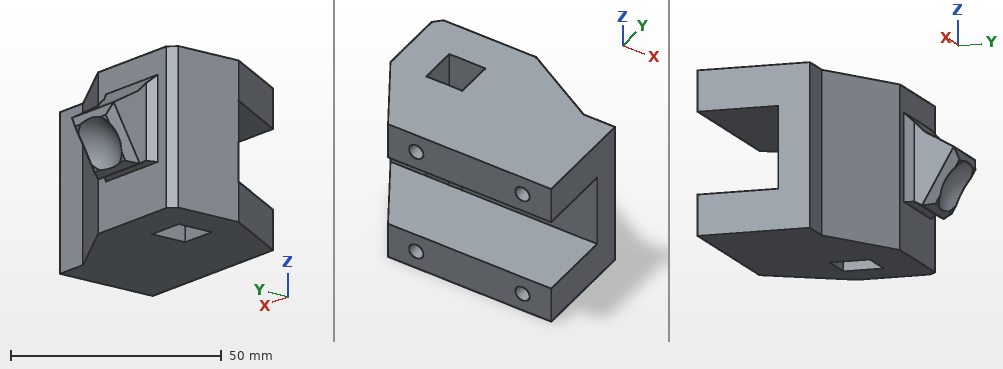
import cadquery as cq
import math

LENGTH = 58.2
HEIGHT = 40.2
DEPTH = 40.45
SIDE_DEPTH = 28.1
FRONT_BEVEL_X = 12.2
BACK_CHAMFER = 2.05
BACK_FLAT_END_X = 28.05
SLOPE_END_X = 49.35

ARM_THICKNESS = HEIGHT / 4
SLOT_DEPTH = 20.2
CHANNEL_SIDE = 10.1
CHANNEL_X = 10.1

HOLE_DIAMETER = 4.0
HOLE_DEPTH = 10.0
HOLE_XS = (20.2, 50.1)
HOLE_ZS = (ARM_THICKNESS / 2, HEIGHT - ARM_THICKNESS / 2)

TILT = 30
BOSS_SIDE = 15.9
BOSS_X = CHANNEL_X + CHANNEL_SIDE / 2
END_TOP_Y = 52.25
END_TOP_Z = 25.3
NECK_TOP_Y = 44.8
FLARE = 2.0
FLARE_BOTTOM_Z = 12.3
NECK_BOTTOM_Z = 12.7
END_CHAMFER = 2.05
DISH_RADIUS = 10.0
DISH_RIM_RADIUS = 7
OVERLAP = 0.6

SIN = math.sin(math.radians(TILT))
COS = math.cos(math.radians(TILT))
NECK_TOP_Z = END_TOP_Z + (END_TOP_Y - NECK_TOP_Y) * SIN / COS
FLARE_END_Y = DEPTH + FLARE
FLARE_TOP_Z = NECK_TOP_Z + NECK_TOP_Y - DEPTH


def make_body():
    outline = [
        (0, SLOT_DEPTH),
        (FRONT_BEVEL_X, 0),
        (LENGTH, 0),
        (LENGTH, SIDE_DEPTH),
        (SLOPE_END_X, SIDE_DEPTH),
        (BACK_FLAT_END_X, DEPTH),
        (BACK_CHAMFER, DEPTH),
        (0, DEPTH - BACK_CHAMFER),
    ]
    body = cq.Workplane("XY").polyline(outline).close().extrude(HEIGHT)
    slot = cq.Workplane("XY").box(LENGTH, SLOT_DEPTH, HEIGHT - 2 * ARM_THICKNESS, centered=False)
    channel = cq.Workplane("XY").box(CHANNEL_SIDE, CHANNEL_SIDE, HEIGHT, centered=False)
    body = body.cut(slot.translate((0, 0, ARM_THICKNESS)))
    body = body.cut(channel.translate((CHANNEL_X, SLOT_DEPTH, 0)))
    for x in HOLE_XS:
        for z in HOLE_ZS:
            hole = cq.Solid.makeCylinder(
                HOLE_DIAMETER / 2, HOLE_DEPTH, cq.Vector(x, 0, z), cq.Vector(0, 1, 0)
            )
            body = body.cut(cq.Workplane(obj=hole))
    return body


def make_flare():
    """Flared foot, widening on both sides and upward towards the body."""
    half = BOSS_SIDE / 2
    foot_half = half + FLARE

    def section(y, half_width, bottom, top):
        return cq.Wire.makePolygon([
            cq.Vector(BOSS_X - half_width, y, bottom),
            cq.Vector(BOSS_X + half_width, y, bottom),
            cq.Vector(BOSS_X + half_width, y, top),
            cq.Vector(BOSS_X - half_width, y, top),
        ], close=True)

    foot = section(DEPTH, foot_half, FLARE_BOTTOM_Z, FLARE_TOP_Z)
    neck = section(FLARE_END_Y, half, NECK_BOTTOM_Z, FLARE_TOP_Z - FLARE)
    return cq.Workplane(obj=cq.Solid.makeLoft([foot, neck], True))


def make_neck():
    """Straight-sided neck, ending in the tilted square end."""
    profile = [
        (DEPTH - OVERLAP, NECK_BOTTOM_Z),
        (FLARE_END_Y, NECK_BOTTOM_Z),
        (END_TOP_Y - BOSS_SIDE * SIN, END_TOP_Z - BOSS_SIDE * COS),
        (END_TOP_Y, END_TOP_Z),
        (NECK_TOP_Y, NECK_TOP_Z),
        (FLARE_END_Y, FLARE_TOP_Z - FLARE),
        (DEPTH - OVERLAP, FLARE_TOP_Z - FLARE),
    ]
    neck = cq.Workplane("YZ").polyline(profile).close().extrude(BOSS_SIDE)
    return neck.translate((BOSS_X - BOSS_SIDE / 2, 0, 0))


def make_dished_end():
    """Square end with chamfered sides and a spherical dish for a ball."""
    end_plane = cq.Plane(
        origin=(BOSS_X, END_TOP_Y - BOSS_SIDE / 2 * SIN, END_TOP_Z - BOSS_SIDE / 2 * COS),
        xDir=(1, 0, 0),
        normal=(0, COS, -SIN),
    )
    end = cq.Workplane(end_plane).rect(BOSS_SIDE, BOSS_SIDE).extrude(END_CHAMFER, taper=45)
    ball_height = END_CHAMFER + math.sqrt(DISH_RADIUS ** 2 - DISH_RIM_RADIUS ** 2)
    ball = cq.Workplane(end_plane).workplane(offset=ball_height).sphere(DISH_RADIUS)
    return end, ball


dished_end, ball_space = make_dished_end()
boss = make_neck().union(make_flare()).union(dished_end).cut(ball_space)
result = make_body().union(boss)